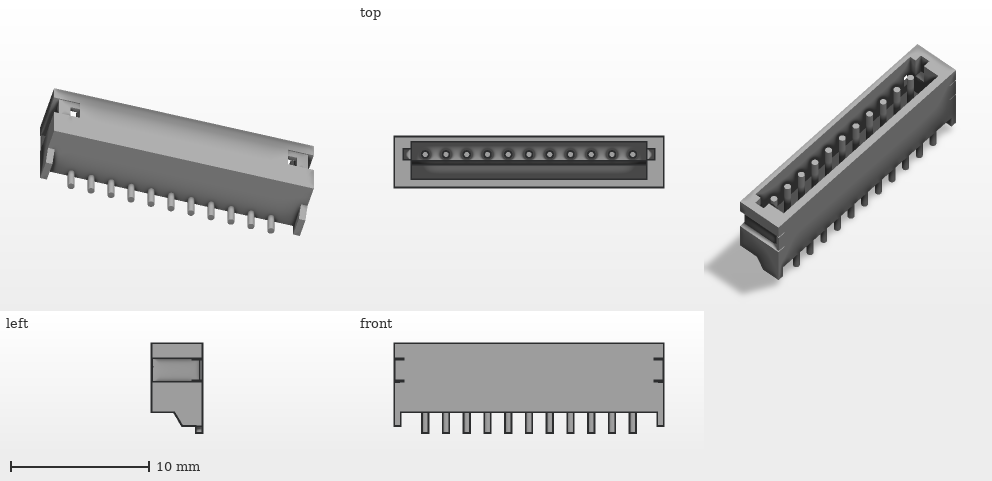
import cadquery as cq
import math

length = 19.5
depth = 3.7
top = 6.5
base = 1.5
half_length = length / 2
front = -depth / 2
back = depth / 2

foot_width = 0.5
foot_bottom = 0.5
foot_toe_y = -0.37
foot_root_y = 0.22

pin_count = 11
pin_pitch = 1.5
pin_radius = 0.25
post_y = 0.55
post_top = top - 0.7
tail_y = front + pin_radius
crank_radius = 0.5
tail_straight = 1.35
crank_z = tail_straight + crank_radius

cavity_half_length = 8.5
back_wall = 0.4
front_wall = 0.6
cavity_front = front + front_wall
cavity_back = back - back_wall
back_floor = 2.9
front_floor = 2.3
slope_back_y = 0.1
slope_front_y = -0.2

notch_half_length = 9.1
notch_width = 0.8
notch_depth = 1.8

groove_depth = 0.4
groove_top = top - 1.1
groove_bottom = top - 2.8
lug_gap = 0.1
lug_thickness = 0.2
lug_inset = 0.03
slit_reach = 0.7
slit_depth = 0.75

relief_depth = 0.07
window_inner_x = 7.8
window_top = top - 1.72


def block(x_span, y_span, z_span):
    """Box between the given lower and upper limits on each axis."""
    lows, highs = zip(x_span, y_span, z_span)
    sizes = [high - low for low, high in zip(lows, highs)]
    return cq.Workplane("XY").box(*sizes, centered=False).translate(lows)


def both_ends(shape):
    """The shape at the +X end together with its mirror image at the -X end."""
    return shape.union(shape.mirror("YZ"))


def housing_block():
    body = block((-half_length, half_length), (front, back), (base, top))
    foot_outline = [
        (front, foot_bottom),
        (foot_toe_y, foot_bottom),
        (foot_root_y, base),
        (front, base),
    ]
    foot = (
        cq.Workplane("YZ", origin=(half_length - foot_width, 0, 0))
        .polyline(foot_outline)
        .close()
        .extrude(foot_width)
    )
    return body.union(both_ends(foot))


def cavity():
    outline = [
        (cavity_front, top),
        (cavity_front, front_floor),
        (slope_front_y, front_floor),
        (slope_back_y, back_floor),
        (cavity_back, back_floor),
        (cavity_back, top),
    ]
    pocket = (
        cq.Workplane("YZ", origin=(-cavity_half_length, 0, 0))
        .polyline(outline)
        .close()
        .extrude(2 * cavity_half_length)
    )
    notches = block(
        (-notch_half_length, notch_half_length),
        (post_y - notch_width / 2, post_y + notch_width / 2),
        (top - notch_depth, top),
    )
    return pocket.union(notches)


def end_groove():
    """Groove across the +X end face, less the lug left standing at the front."""
    groove_z = (groove_bottom, groove_top)
    lug_z = (groove_bottom + lug_gap, groove_top - lug_gap)
    groove = block((half_length - groove_depth, half_length), (front, back), groove_z)
    lug = block(
        (half_length - groove_depth, half_length - lug_inset),
        (front, front + lug_thickness),
        lug_z,
    )
    slit_x = (half_length - slit_reach, half_length - groove_depth)
    slit_y = (front, front + slit_depth)
    lower_slit = block(slit_x, slit_y, (groove_bottom, lug_z[0]))
    upper_slit = block(slit_x, slit_y, (lug_z[1], groove_top))
    return groove.cut(lug).union(lower_slit).union(upper_slit)


def back_window():
    """Relief in the back face at the +X end and the window into the cavity."""
    relief = block(
        (window_inner_x, half_length),
        (back - relief_depth, back),
        (groove_bottom, groove_top),
    )
    window = block(
        (window_inner_x, cavity_half_length),
        (cavity_back, back),
        (groove_bottom, window_top),
    )
    return relief.union(window)


def pin(x):
    section_plane = cq.Workplane("XY", origin=(x, tail_y, 0))
    bend = crank_radius * (1 - math.cos(math.radians(45)))
    path = (
        cq.Workplane("YZ", origin=(x, 0, 0))
        .moveTo(tail_y, 0)
        .lineTo(tail_y, tail_straight)
        .threePointArc((tail_y + bend, crank_z - bend), (tail_y + crank_radius, crank_z))
        .lineTo(post_y - crank_radius, crank_z)
        .threePointArc((post_y - bend, crank_z + bend), (post_y, crank_z + crank_radius))
        .lineTo(post_y, post_top)
    )
    return section_plane.circle(pin_radius).sweep(path)


result = housing_block().cut(cavity()).cut(both_ends(end_groove())).cut(both_ends(back_window()))
for index in range(pin_count):
    result = result.union(pin((index - (pin_count - 1) / 2) * pin_pitch))